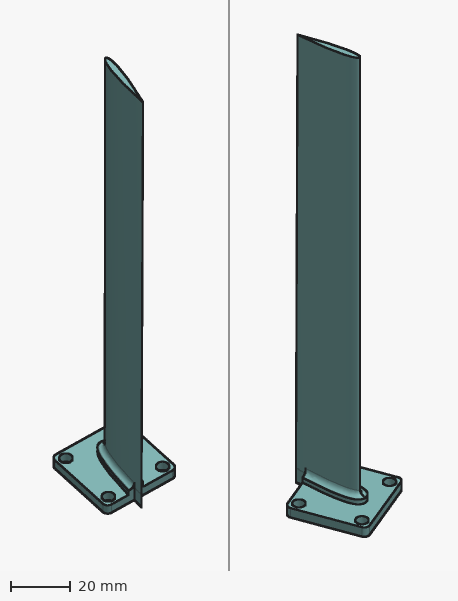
import cadquery as cq
import math

plate_side = 30.0
plate_thickness = 4.0
plate_corner_radius = 2.0
hole_diameter = 4.5
hole_spacing = 23.0

total_height = 190.0
leading_edge_x = -6.32
leading_edge_y = 1.3
root_trailing_x = 19.164
root_pitch = 10.6
tip_trailing_x = 17.85
tip_pitch = 7.25
thickness_ratio = 0.12
naca_root, naca_linear, naca_square, naca_cube, naca_fourth = 0.2969, -0.1260, -0.3516, 0.2843, -0.1015
spans_per_side = 10

collar_top = 6.0
collar_margin = 2.5
root_fillet_radius = 2.0

trim_clearance = 10.0
match_tolerance = 0.01


def profile_point(angle, side, chord, margin):
    """Point on one side (+1 upper, -1 lower) of an unpitched NACA four-digit profile.

    The angle runs from 0 at the nose to pi / 2 at the tail, which crowds points toward the nose;
    f is the matching fraction of the chord.
    The point is moved straight outward from the profile by the margin.
    """
    f = 1 - math.cos(angle)
    f_rate = math.sin(angle)
    root_f = math.sqrt(2) * math.sin(angle / 2)
    root_f_rate = math.cos(angle / 2) / math.sqrt(2)
    polynomial = naca_linear * f + naca_square * f**2 + naca_cube * f**3 + naca_fourth * f**4
    slope = naca_linear + 2 * naca_square * f + 3 * naca_cube * f**2 + 4 * naca_fourth * f**3
    height = naca_root * root_f + polynomial
    height_rate = naca_root * root_f_rate + slope * f_rate

    thickness_scale = 5 * thickness_ratio
    across_rate = thickness_scale * height_rate
    speed = math.hypot(f_rate, across_rate)
    along = chord * f - margin * across_rate / speed
    across = chord * thickness_scale * height + margin * f_rate / speed
    return along, side * across


def airfoil(trailing_x, pitch, z, margin=0.0):
    """Closed airfoil outline at height z, pitched clockwise about the leading edge."""
    cos_pitch = math.cos(math.radians(pitch))
    sin_pitch = math.sin(math.radians(pitch))
    chord = (trailing_x - leading_edge_x) / cos_pitch

    def side_points(side):
        """Points from the nose to the tail."""
        points = []
        for i in range(spans_per_side + 1):
            angle = math.pi / 2 * i / spans_per_side
            along, across = profile_point(angle, side, chord, margin)
            x = leading_edge_x + along * cos_pitch + across * sin_pitch
            y = leading_edge_y - along * sin_pitch + across * cos_pitch
            points.append(cq.Vector(x, y, z))
        return points

    upper_points = side_points(1)
    lower_points = side_points(-1)
    upper = cq.Edge.makeSpline(upper_points[::-1])
    lower = cq.Edge.makeSpline(lower_points)
    tail = cq.Edge.makeLine(lower_points[-1], upper_points[-1])
    return cq.Wire.assembleEdges([upper, lower, tail])


def extrude_from_base(outline, height):
    return cq.Workplane(cq.Solid.extrudeLinear(outline, [], cq.Vector(0, 0, height)))


def trim_to_plate(body):
    """Remove everything beyond the +X side of the plate."""
    keep = cq.Workplane("XY").rect(plate_side, plate_side).extrude(total_height + trim_clearance)
    return body.intersect(keep)


def make_plate():
    return (
        cq.Workplane("XY")
        .rect(plate_side, plate_side)
        .extrude(plate_thickness)
        .edges("|Z")
        .fillet(plate_corner_radius)
        .faces(">Z")
        .workplane()
        .rect(hole_spacing, hole_spacing, forConstruction=True)
        .vertices()
        .hole(hole_diameter)
    )


def make_blade_root():
    """Straight foot of the blade, running from the plate underside to the collar top."""
    return extrude_from_base(airfoil(root_trailing_x, root_pitch, 0), collar_top)


def make_twisted_blade():
    root_outline = airfoil(root_trailing_x, root_pitch, collar_top)
    tip_outline = airfoil(tip_trailing_x, tip_pitch, total_height)
    return cq.Workplane(cq.Solid.makeLoft([root_outline, tip_outline], True))


def make_collar(blade):
    """Collar with the concave fillet that blends its top into the blade."""
    collar = extrude_from_base(airfoil(root_trailing_x, root_pitch, 0, collar_margin), collar_top)
    trimmed_blade = trim_to_plate(blade)
    blade_foot_edges = trimmed_blade.faces("<Z").edges("not(#X)").vals()
    body = trim_to_plate(collar).union(trimmed_blade)
    foot_centers = [edge.Center() for edge in blade_foot_edges]
    seam = body.edges().filter(
        lambda edge: any((edge.Center() - center).Length < match_tolerance for center in foot_centers)
    )
    return seam.fillet(root_fillet_radius)


twisted_blade = make_twisted_blade()
collar = make_collar(twisted_blade)
result = make_plate().union(make_blade_root()).union(collar).union(twisted_blade)